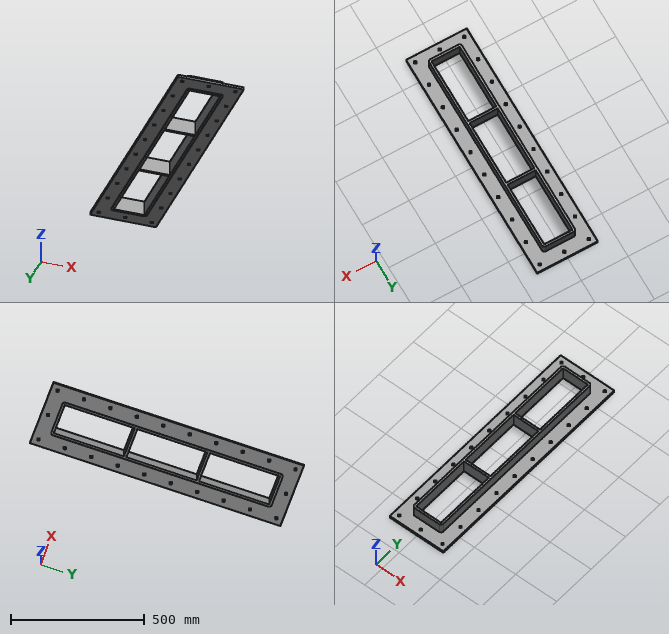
import cadquery as cq

plate_width = 260.5
plate_length = 994.0
plate_thickness = 10.0

flange_margin = 60.0
frame_width = plate_width - 2 * flange_margin
frame_length = plate_length - 2 * flange_margin
frame_height = 60.0
frame_wall = 10.0
frame_corner_radius = 10.0
frame_drop = 3.0

opening_count = 3
opening_width = frame_width - 2 * frame_wall
opening_length = (frame_length - (opening_count + 1) * frame_wall) / opening_count
opening_pitch = opening_length + frame_wall

hole_diameter = 10.5
hole_edge_distance = 25.0
hole_columns = 3
hole_rows = 10
hole_pitch_x = (plate_width - 2 * hole_edge_distance) / (hole_columns - 1)
hole_pitch_y = (plate_length - 2 * hole_edge_distance) / (hole_rows - 1)


def make_plate():
    """Flat flange with its underside at Z = 0."""
    return cq.Workplane("XY").box(
        plate_width, plate_length, plate_thickness, centered=(True, True, False)
    )


def make_frame_block():
    """Solid block with the rounded outer shape of the frame."""
    return (
        cq.Workplane("XY")
        .workplane(offset=-frame_drop)
        .rect(frame_width, frame_length)
        .extrude(frame_height)
        .edges("|Z")
        .fillet(frame_corner_radius)
    )


def make_openings():
    """Sharp-cornered rectangular openings in a row along Y."""
    return (
        cq.Workplane("XY")
        .workplane(offset=-frame_drop)
        .rarray(1, opening_pitch, 1, opening_count)
        .rect(opening_width, opening_length)
        .extrude(frame_height)
    )


def rim_hole_centers():
    """Positions of the outermost columns and rows of an evenly spaced grid."""
    centers = []
    for column in range(hole_columns):
        for row in range(hole_rows):
            if column in (0, hole_columns - 1) or row in (0, hole_rows - 1):
                x = (column - (hole_columns - 1) / 2) * hole_pitch_x
                y = (row - (hole_rows - 1) / 2) * hole_pitch_y
                centers.append((x, y))
    return centers


def make_bolt_holes():
    """Cylinders for the through holes in the plate."""
    return (
        cq.Workplane("XY")
        .pushPoints(rim_hole_centers())
        .circle(hole_diameter / 2)
        .extrude(plate_thickness)
    )


result = make_plate().union(make_frame_block()).cut(make_openings()).cut(make_bolt_holes())